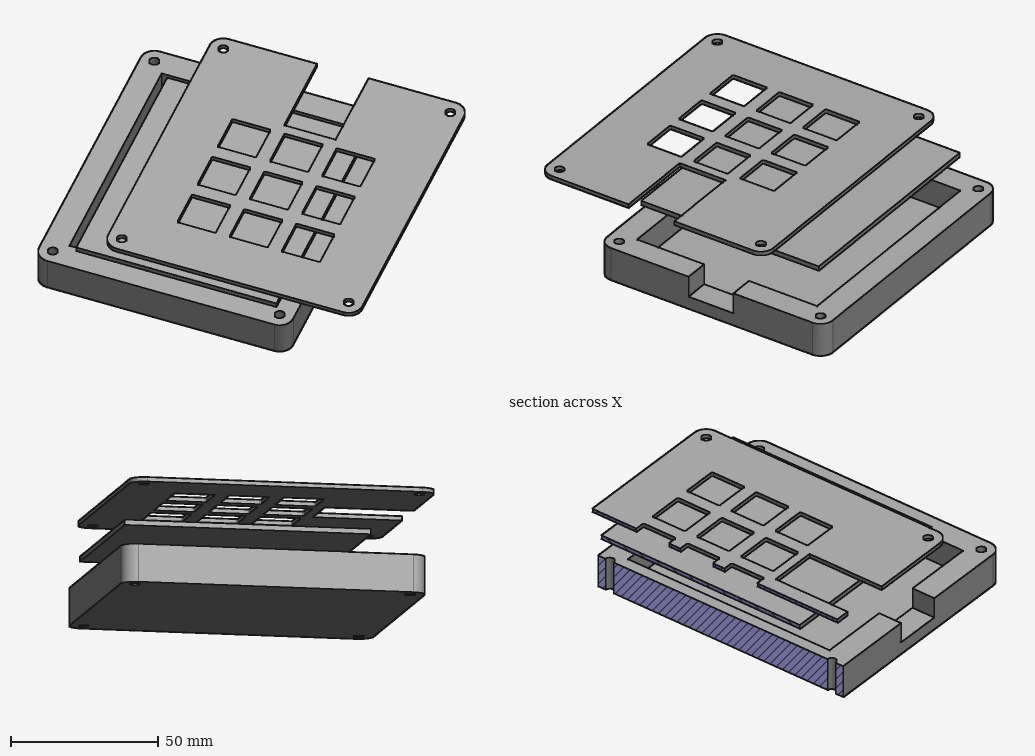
import cadquery as cq

TOTAL_LENGTH = 118.8
TOTAL_HEIGHT = 31.5

FOOTPRINT_X = 92.7
FOOTPRINT_Y = 105.6
CORNER_RADIUS = 5.0
SCREW_HOLE_DIAMETER = 3.5
SCREW_INSET = 5.0

REAR_SLOT_CENTER = 46.6

CASE_HEIGHT = 13.1
WALL = 9.4
FLOOR = 3.0
CHANNEL_WIDTH = 18.4
CHANNEL_DEPTH = 8.1

BOARD_X = 73.0
BOARD_Y = 85.5
BOARD_THICKNESS = 1.8
BOARD_LEFT = 15.0
BOARD_FRONT = 1.4
BOARD_BOTTOM = 20.3

PLATE_THICKNESS = 1.5
PLATE_SHIFT_X = TOTAL_LENGTH - FOOTPRINT_X
PLATE_SHIFT_Y = -2.5
NOTCH_WIDTH = 18.8
NOTCH_DEPTH = 31.0

KEY_COUNT = 3
KEY_PITCH = 19
KEY_SIZE = 14.0
KEY_CORNER_RADIUS = 0.5
KEY_GRID_X = 45.7
KEY_GRID_Y = 45.0


def drilled_slab(thickness):
    """Rounded slab with its front left corner at the origin and a screw hole in each corner."""
    slab = (
        cq.Workplane("XY")
        .box(FOOTPRINT_X, FOOTPRINT_Y, thickness, centered=False)
        .edges("|Z")
        .fillet(CORNER_RADIUS)
    )
    holes = (
        cq.Workplane("XY")
        .center(FOOTPRINT_X / 2, FOOTPRINT_Y / 2)
        .rect(FOOTPRINT_X - 2 * SCREW_INSET, FOOTPRINT_Y - 2 * SCREW_INSET, forConstruction=True)
        .vertices()
        .circle(SCREW_HOLE_DIAMETER / 2)
        .extrude(thickness)
    )
    return slab.cut(holes)


def rear_slot(width, length, depth, bottom):
    """Cutter on the shared slot centre line, running forward from the rear edge."""
    return (
        cq.Workplane("XY")
        .box(width, length, depth, centered=False)
        .translate((REAR_SLOT_CENTER - width / 2, FOOTPRINT_Y - length, bottom))
    )


def make_case():
    pocket = (
        cq.Workplane("XY")
        .box(FOOTPRINT_X - 2 * WALL, FOOTPRINT_Y - 2 * WALL, CASE_HEIGHT - FLOOR, centered=False)
        .translate((WALL, WALL, FLOOR))
    )
    channel = rear_slot(CHANNEL_WIDTH, WALL, CHANNEL_DEPTH, CASE_HEIGHT - CHANNEL_DEPTH)
    return drilled_slab(CASE_HEIGHT).cut(pocket).cut(channel)


def make_board():
    return (
        cq.Workplane("XY")
        .box(BOARD_X, BOARD_Y, BOARD_THICKNESS, centered=False)
        .translate((BOARD_LEFT, BOARD_FRONT, BOARD_BOTTOM))
    )


def make_plate():
    key_openings = (
        cq.Workplane("XY")
        .center(KEY_GRID_X, KEY_GRID_Y)
        .rarray(KEY_PITCH, KEY_PITCH, KEY_COUNT, KEY_COUNT)
        .rect(KEY_SIZE, KEY_SIZE)
        .extrude(PLATE_THICKNESS)
        .edges("|Z")
        .fillet(KEY_CORNER_RADIUS)
    )
    notch = rear_slot(NOTCH_WIDTH, NOTCH_DEPTH, PLATE_THICKNESS, 0)
    plate = drilled_slab(PLATE_THICKNESS).cut(key_openings).cut(notch)
    return plate.translate((PLATE_SHIFT_X, PLATE_SHIFT_Y, TOTAL_HEIGHT - PLATE_THICKNESS))


case = make_case()
board = make_board()
plate = make_plate()

result = cq.Compound.makeCompound([case.val(), board.val(), plate.val()])